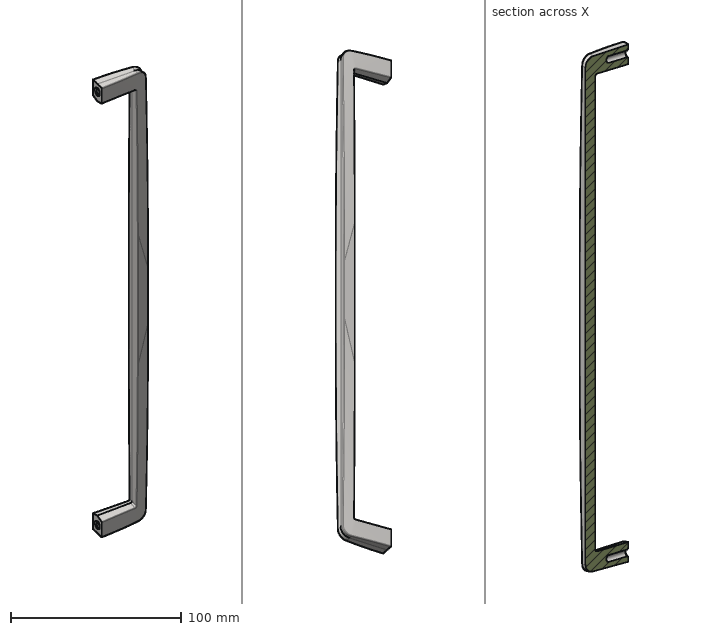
import cadquery as cq
import math


width = 10.0
depth = 32.32
height = 332.22
half_width = width / 2
arm_end_y = -depth / 2

arm_side_thickness = 11.7
grip_side_thickness = 7.7

arm_ridge_rise = 1.4
grip_ridge_rise = 0.75
valley_depth = 0.75
valley_depth_at_arm_end = 0.11

corner_radius = 6.0
inner_corner_radius = 1.0
edge_radius = 0.45
flat_tolerance = 0.01
side_normal_x = 0.9


def rounding_loss(valley):
    """Height lost at a side edge when it is rounded, for a valley of the given depth."""
    slope = valley / half_width
    return edge_radius * (slope + math.hypot(1, slope) - 1)


back_y = depth / 2 + rounding_loss(valley_depth)
outer_z = height / 2 + rounding_loss(valley_depth_at_arm_end)

hollow_radius = 270.0
tangent_end_z = 150.0
tangent_back_z = 18.0
hollow_reach = 40.0
overrun = 20.0
clearance = 1.0

hole_spacing = 320.0
hole_diameter = 4.0
hole_mouth_diameter = 5.5
hole_depth = 15.0
drill_point_angle = 118.0


def arc_middle(center_y, center_z, radius):
    """Middle point of a quarter arc that faces +Y and +Z."""
    offset = radius * math.sqrt(0.5)
    return (center_y + offset, center_z + offset)


def handle_outline(x, end_z, top_z, back, inner_z, inner_y):
    """Upper half of the handle outline, from the middle of the grip to the arm end."""
    corner_z = top_z - corner_radius
    corner_y = back - corner_radius
    inner_corner_y = inner_y - inner_corner_radius
    inner_corner_z = inner_z - inner_corner_radius
    return (
        cq.Workplane("YZ", origin=(x, 0, 0))
        .moveTo(inner_y, 0)
        .lineTo(back, 0)
        .lineTo(back, corner_z)
        .threePointArc(arc_middle(corner_y, corner_z, corner_radius), (corner_y, top_z))
        .lineTo(arm_end_y, end_z)
        .lineTo(arm_end_y, inner_z)
        .lineTo(inner_corner_y, inner_z)
        .threePointArc(
            arc_middle(inner_corner_y, inner_corner_z, inner_corner_radius),
            (inner_y, inner_corner_z),
        )
        .close()
        .wire()
        .val()
    )


def chevron_quarter():
    """Quarter of the handle between its middle plane and its side, with a chevron section."""
    side_inner_z = outer_z - arm_side_thickness
    side_inner_y = back_y - grip_side_thickness
    middle = handle_outline(
        0,
        outer_z - valley_depth_at_arm_end,
        outer_z - valley_depth,
        back_y - valley_depth,
        side_inner_z - arm_ridge_rise,
        side_inner_y - grip_ridge_rise,
    )
    side = handle_outline(half_width, outer_z, outer_z, back_y, side_inner_z, side_inner_y)
    return cq.Workplane(cq.Solid.makeLoft([middle, side], True))


def side_hollow():
    """Material outside the cylindrical hollow on the +X side of the upper half."""
    rise = tangent_end_z - tangent_back_z
    run = back_y - arm_end_y
    length = math.hypot(rise, run)
    across = cq.Vector(0, rise / length, run / length)
    along = cq.Vector(0, -run / length, rise / length)
    start = cq.Vector(half_width, back_y, tangent_back_z) - along * overrun
    reach_angle = math.asin(hollow_reach / hollow_radius)

    def on_hollow(angle):
        return (
            hollow_radius * math.sin(angle),
            hollow_radius * (1 - math.cos(angle)),
        )

    plane = cq.Plane(origin=start, xDir=across, normal=along)
    return (
        cq.Workplane(plane)
        .moveTo(0, 0)
        .threePointArc(on_hollow(reach_angle / 2), on_hollow(reach_angle))
        .lineTo(hollow_reach, -clearance)
        .lineTo(0, -clearance)
        .close()
        .extrude(length + 2 * overrun)
    )


def mounting_hole():
    """Blind drilled hole with a countersunk mouth, opening at the arm end."""
    radius = hole_diameter / 2
    mouth_radius = hole_mouth_diameter / 2
    point_length = radius / math.tan(math.radians(drill_point_angle / 2))
    return (
        cq.Workplane("XY", origin=(0, arm_end_y, hole_spacing / 2))
        .moveTo(0, 0)
        .lineTo(mouth_radius, 0)
        .lineTo(radius, mouth_radius - radius)
        .lineTo(radius, hole_depth)
        .lineTo(0, hole_depth + point_length)
        .close()
        .revolve(360, (0, 0, 0), (0, 1, 0))
    )


def round_side_edges(quarter):
    """Round the long edges of the +X side, leaving the arm end and the middle plane sharp."""
    side_edges = [
        edge
        for face in quarter.faces().vals()
        if face.normalAt().x > side_normal_x
        for edge in face.Edges()
    ]
    long_edges = []
    for edge in side_edges:
        is_seam = sum(edge.isSame(other) for other in side_edges) > 1
        box = edge.BoundingBox()
        on_middle_plane = box.zmax < flat_tolerance
        on_arm_end = box.ymax < arm_end_y + flat_tolerance
        if not (is_seam or on_middle_plane or on_arm_end):
            long_edges.append(edge)
    return quarter.newObject(long_edges).fillet(edge_radius)


quarter = round_side_edges(chevron_quarter().cut(side_hollow()))
upper_half = quarter.union(quarter.mirror("YZ")).cut(mounting_hole())
result = upper_half.union(upper_half.mirror("XY"))